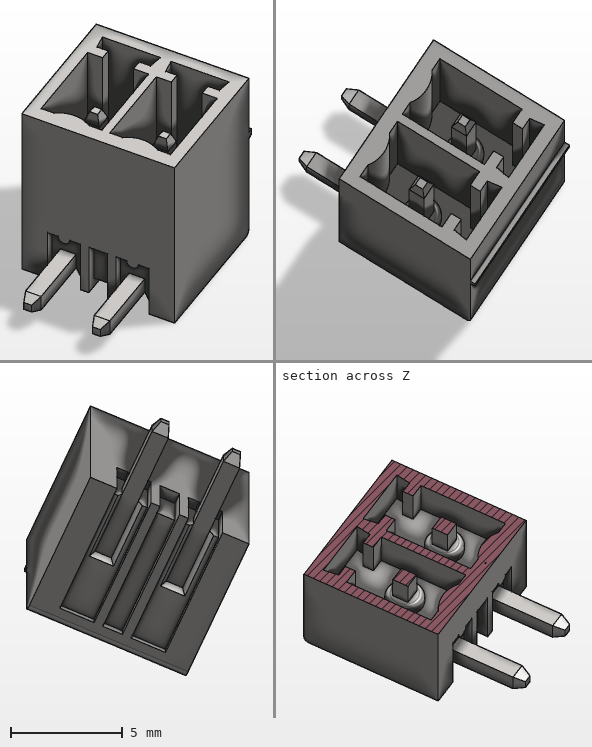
import cadquery as cq


overall_depth = 10.65
body_width = 7.8
body_depth = 7.0
body_height = 9.2
rear_edge_radius = 0.3
pole_pitch = 3.5
pole_positions = [-pole_pitch / 2, pole_pitch / 2]

ridge_reach = 0.26
ridge_top = 6.02
ridge_flat = 0.29
ridge_slope = 0.11

cavity_floor = 3.0
cavity_width = 3.1
cavity_front = 0.72
cavity_back = 5.1
neck_width = 1.58
key_front = 5.63
key_back = 6.35
key_front_width = 2.74
key_back_width = 2.95
bulge_width = 1.81
bulge_height = 0.29
wall_draft = 0.07

collar_diameter = 1.8
collar_height = 0.5
collar_round = 0.25

pin_size = 0.8
pin_tip_size = 0.4
pin_tip_length = 0.53
contact_y = 3.0
contact_top = 8.0
lead_z = 1.19
lead_reach = overall_depth - body_depth - ridge_reach

recess_top = 2.69
pole_recess_width = 1.68
pole_recess_depth = 0.43
pole_channel_height = 0.42
middle_recess_width = 0.96
middle_recess_depth = 0.5
middle_channel_height = 0.49
channel_back = body_depth - cavity_front
nub_radius = 0.3

flare_width = 1.19


def centred_box(width, front, back, bottom, top, x=0):
    """Box centred on x that spans the given Y and Z ranges."""
    box = cq.Workplane("XY").box(width, back - front, top - bottom, centered=(True, False, False))
    return box.translate((x, front, bottom))


def make_housing():
    housing = centred_box(body_width, 0, body_depth, 0, body_height)
    return housing.edges(">Y and <Z").fillet(rear_edge_radius)


def make_ridge():
    ridge_outer = body_depth + ridge_reach
    flat_bottom = ridge_top - ridge_flat
    return (
        cq.Workplane("YZ", origin=(-body_width / 2, 0, 0))
        .moveTo(body_depth, ridge_top)
        .lineTo(ridge_outer, ridge_top)
        .lineTo(ridge_outer, flat_bottom)
        .lineTo(body_depth, flat_bottom - ridge_slope)
        .close()
        .extrude(body_width)
    )


def make_cavity(x):
    """Plug space: a main bay with a bulged front wall, a neck and a dovetail key slot."""
    height = body_height - cavity_floor
    bay = (
        cq.Workplane("XY", origin=(x, 0, cavity_floor))
        .moveTo(-cavity_width / 2, cavity_front)
        .lineTo(-bulge_width / 2, cavity_front)
        .threePointArc((0, cavity_front + bulge_height), (bulge_width / 2, cavity_front))
        .lineTo(cavity_width / 2, cavity_front)
        .lineTo(cavity_width / 2, cavity_back)
        .lineTo(-cavity_width / 2, cavity_back)
        .close()
        .extrude(height)
    )
    neck = centred_box(neck_width, cavity_back, key_front, cavity_floor, body_height, x)
    key_slot = (
        cq.Workplane("XY", origin=(x, 0, cavity_floor))
        .moveTo(-key_front_width / 2, key_front)
        .lineTo(key_front_width / 2, key_front)
        .lineTo(key_back_width / 2, key_back)
        .lineTo(-key_back_width / 2, key_back)
        .close()
        .extrude(height)
    )
    return bay.union(neck).union(key_slot)


def make_draft_wedge(x):
    """Thin wedge that gives the right side wall of a cavity its draft, thickest at the floor."""
    return (
        cq.Workplane("XZ", origin=(x + cavity_width / 2, cavity_front, cavity_floor))
        .lineTo(-wall_draft, 0)
        .lineTo(0, body_height - cavity_floor)
        .close()
        .extrude(cavity_front - cavity_back)
    )


def make_collar(x):
    return (
        cq.Workplane("XY", origin=(x, contact_y, cavity_floor))
        .circle(collar_diameter / 2)
        .extrude(collar_height)
        .faces(">Z")
        .edges()
        .fillet(collar_round)
    )


def make_recess(x, width, depth, channel_height):
    """Notch in the front wall that runs on as a shallow channel in the underside."""
    notch = centred_box(width, 0, depth, 0, recess_top, x)
    channel = centred_box(width, 0, channel_back, 0, channel_height, x)
    return notch.union(channel)


def make_pole_recess(x):
    """Front recess of a pole with a half-round nub left hanging from its top."""
    nub = (
        cq.Workplane("XZ", origin=(x, 0, recess_top))
        .circle(nub_radius)
        .extrude(-pole_recess_depth)
    )
    recess = make_recess(x, pole_recess_width, pole_recess_depth, pole_channel_height)
    return recess.cut(nub)


def make_flared_slot(x):
    """Slot from the channel up to the pin, widening downwards on both sides and at the back."""
    pin_bottom = lead_z - pin_size / 2
    pin_back = contact_y + pin_size / 2
    flare = (flare_width - pin_size) / 2
    slot_length = pin_back - pole_recess_depth
    flare_length = slot_length + flare
    return (
        cq.Workplane("XY", origin=(x, pole_recess_depth, pole_channel_height))
        .center(0, flare_length / 2)
        .rect(flare_width, flare_length)
        .workplane(offset=pin_bottom - pole_channel_height)
        .center(0, -flare / 2)
        .rect(pin_size, slot_length)
        .loft(ruled=True)
    )


def make_tapered_bar(length):
    """Square bar along +Z that ends in a blunt pyramid tip."""
    bar_length = length - pin_tip_length
    bar = cq.Workplane("XY").rect(pin_size, pin_size).extrude(bar_length)
    tip = (
        cq.Workplane("XY", origin=(0, 0, bar_length))
        .rect(pin_size, pin_size)
        .workplane(offset=pin_tip_length)
        .rect(pin_tip_size, pin_tip_size)
        .loft(ruled=True)
    )
    return bar.union(tip)


def make_pin(x):
    """L-shaped pin: an upright contact and a lead that leaves through the front wall."""
    pin_bottom = lead_z - pin_size / 2
    contact = make_tapered_bar(contact_top - pin_bottom).translate((x, contact_y, pin_bottom))
    lead = (
        make_tapered_bar(contact_y + lead_reach)
        .rotate((0, 0, 0), (1, 0, 0), 90)
        .translate((x, contact_y, lead_z))
    )
    return contact.union(lead)


result = make_housing().union(make_ridge())
result = result.cut(make_recess(0, middle_recess_width, middle_recess_depth, middle_channel_height))
for pole_x in pole_positions:
    result = result.cut(make_cavity(pole_x))
    result = result.cut(make_pole_recess(pole_x))
    result = result.cut(make_flared_slot(pole_x))
    result = result.union(make_draft_wedge(pole_x))
    result = result.union(make_collar(pole_x))
    result = result.union(make_pin(pole_x))